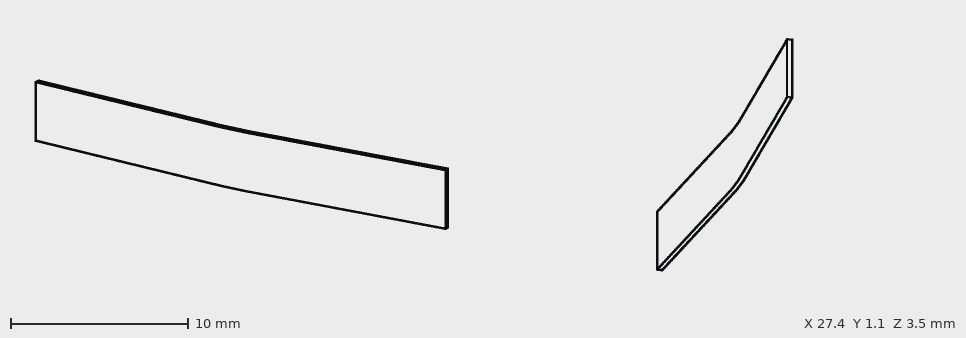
import cadquery as cq
import math

length = 27.43
depth = 1.1
height = 3.5
thickness = 0.3
flat_width = 0.27
flat_height = 2.08
facet_width = 1.54

half_length = length / 2
half_height = height / 2

bend_slope = (depth - thickness) / (half_length - flat_width / 2)
bend_angle = math.atan(bend_slope)

outer_end_y = half_length * bend_slope
inner_end_x = half_length - thickness * math.sin(bend_angle)
inner_end_y = outer_end_y + thickness * math.cos(bend_angle)
inner_ridge_y = thickness / math.cos(bend_angle)


def bent_strip():
    """Shallow V-shaped strip with end faces square to its arms."""
    profile = [
        (-half_length, outer_end_y),
        (0, 0),
        (half_length, outer_end_y),
        (inner_end_x, inner_end_y),
        (0, inner_ridge_y),
        (-inner_end_x, inner_end_y),
    ]
    return cq.Workplane("XY").polyline(profile).close().extrude(half_height, both=True)


def ridge_envelope():
    """Prism along X whose front trims the ridge to a flat and two sloping facets."""
    flat_y = bend_slope * flat_width / 2
    facet_edge_y = bend_slope * facet_width / 2
    back_y = 2 * depth
    profile = [
        (flat_y, -flat_height / 2),
        (flat_y, flat_height / 2),
        (facet_edge_y, half_height),
        (back_y, half_height),
        (back_y, -half_height),
        (facet_edge_y, -half_height),
    ]
    return cq.Workplane("YZ").polyline(profile).close().extrude(length, both=True)


def valley_fill(envelope):
    """Material in the inner valley that repeats the ridge flat and facets one thickness behind."""
    corner_y = bend_slope * half_length / 2 + inner_ridge_y
    valley = (
        cq.Workplane("XY")
        .polyline([(0, inner_ridge_y), (half_length / 2, corner_y), (-half_length / 2, corner_y)])
        .close()
        .extrude(half_height, both=True)
    )
    return valley.cut(envelope.translate((0, inner_ridge_y, 0)))


envelope = ridge_envelope()
trimmed_strip = bent_strip().intersect(envelope)
result = trimmed_strip.union(valley_fill(envelope))